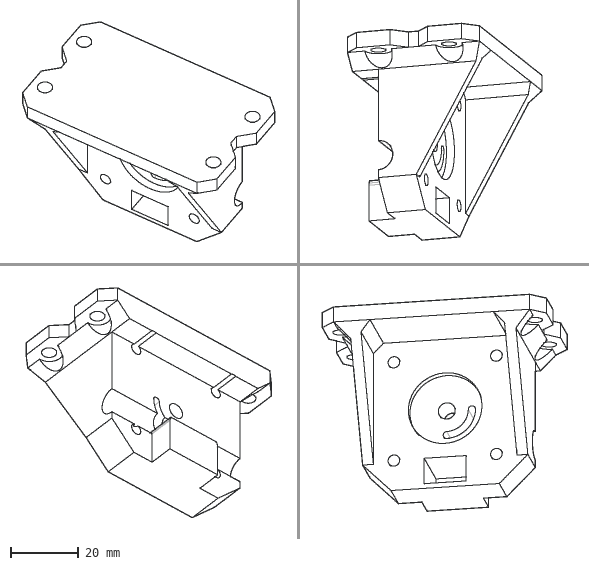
import cadquery as cq
import math


PLATE_LENGTH = 67.8
PLATE_DEPTH = 41.3
PLATE_THICKNESS = 4.75
PLATE_CHAMFER = 4.3
NOTCH_FLOOR = 3.2
PLATE_HOLE_DIAMETER = 4.5
PLATE_HOLE_SPACING_X = 58.8
PLATE_HOLE_SPACING_Y = 22.1
SCREW_CLEARANCE_DIAMETER = 8.3

TOTAL_HEIGHT = 51.35
BODY_WIDTH = 50.0
BODY_BOTTOM_CHAMFER = 8.6
BODY_BACK_SETBACK = 8.15
MOTOR_WALL_THICKNESS = 11.9

BAY_WIDTH = 43.4
BAY_TOP_CHAMFER = 3.05
MOTOR_AXIS_DROP = 26.45
MOTOR_HOLE_SPACING = 31.0
MOTOR_HOLE_DIAMETER = 3.5
PILOT_DIAMETER = 22.25
PILOT_DEPTH = 2.5
SHAFT_HOLE_DIAMETER = 5.1
ARC_SLOT_RADIUS = 7.6
ARC_SLOT_WIDTH = 2.2

CHANNEL_RADIUS = 4.5
CHANNEL_DROP = 35.8

BLOCK_WALL = 3.0
BLOCK_SHOULDER_RADIUS = 1.5
POCKET_WIDTH = 12.7
POCKET_HEIGHT = 8.0
POCKET_END_WALL = 1.5
POCKET_FLOOR = 1.5

HALF_LENGTH = PLATE_LENGTH / 2
FRONT_Y = -PLATE_DEPTH / 2
BACK_Y = PLATE_DEPTH / 2
BODY_BACK_Y = BACK_Y - BODY_BACK_SETBACK
MOTOR_FACE_Y = BODY_BACK_Y - MOTOR_WALL_THICKNESS
PLATE_BOTTOM_Z = -PLATE_THICKNESS
BOTTOM_Z = -TOTAL_HEIGHT
WALL_BOTTOM_Z = BOTTOM_Z + BODY_BOTTOM_CHAMFER
HALF_FLARE = HALF_LENGTH - PLATE_CHAMFER
FLARE_BOTTOM_Z = PLATE_BOTTOM_Z - (HALF_FLARE - BODY_WIDTH / 2)


def front_plane(y):
    """Plane at the given Y whose local axes are X and Z; extruding moves toward -Y."""
    return cq.Workplane("XZ", origin=(0, y, 0))


def symmetric_profile(y, right_side):
    """Closed X-Z outline from its right half, mirrored in X."""
    left_side = [(-x, z) for x, z in reversed(right_side)]
    return front_plane(y).polyline(right_side + left_side).close()


def make_plate():
    blank = (
        cq.Workplane("XY", origin=(0, 0, PLATE_BOTTOM_Z))
        .rect(PLATE_LENGTH, PLATE_DEPTH)
        .extrude(PLATE_THICKNESS)
        .edges("|Z")
        .chamfer(PLATE_CHAMFER)
    )
    half_floor = NOTCH_FLOOR / 2
    half_mouth = half_floor + PLATE_CHAMFER
    for side in (-1, 1):
        outer_x = side * HALF_LENGTH
        inner_x = side * HALF_FLARE
        notch = (
            cq.Workplane("XY", origin=(0, 0, PLATE_BOTTOM_Z))
            .polyline([
                (outer_x, -half_mouth),
                (inner_x, -half_floor),
                (inner_x, half_floor),
                (outer_x, half_mouth),
            ])
            .close()
            .extrude(PLATE_THICKNESS)
        )
        blank = blank.cut(notch)
    return blank


def make_flare():
    """Trapezoid under the plate, narrowing at 45 degrees to the body width."""
    outline = [(BODY_WIDTH / 2, FLARE_BOTTOM_Z), (HALF_FLARE, PLATE_BOTTOM_Z)]
    return symmetric_profile(BACK_Y, outline).extrude(PLATE_DEPTH)


def make_body():
    outline = [
        (BODY_WIDTH / 2 - BODY_BOTTOM_CHAMFER, BOTTOM_Z),
        (BODY_WIDTH / 2, WALL_BOTTOM_Z),
        (BODY_WIDTH / 2, PLATE_BOTTOM_Z),
    ]
    return symmetric_profile(BODY_BACK_Y, outline).extrude(BODY_BACK_Y - FRONT_Y)


def make_front_slope():
    """Everything in front of the sloped wall edges and of the motor face below them."""
    return (
        cq.Workplane("YZ", origin=(-HALF_LENGTH, 0, 0))
        .polyline([
            (FRONT_Y, PLATE_BOTTOM_Z),
            (MOTOR_FACE_Y, WALL_BOTTOM_Z),
            (MOTOR_FACE_Y, BOTTOM_Z),
            (FRONT_Y, BOTTOM_Z),
        ])
        .close()
        .extrude(PLATE_LENGTH)
    )


def make_motor_bay():
    half_bay = BAY_WIDTH / 2
    outline = [
        (half_bay, BOTTOM_Z),
        (half_bay, PLATE_BOTTOM_Z - BAY_TOP_CHAMFER),
        (half_bay - BAY_TOP_CHAMFER, PLATE_BOTTOM_Z),
    ]
    return symmetric_profile(MOTOR_FACE_Y, outline).extrude(MOTOR_FACE_Y - FRONT_Y)


def make_rear_block():
    """Block from the motor face to the back of the plate, stepped in at the top by S-shaped shoulders.

    Each shoulder is a convex arc and an equal concave arc, tangent where they meet and vertical
    at both ends, so each arc turns through 30 degrees and rises half a radius.
    """
    radius = BLOCK_SHOULDER_RADIUS
    half_width = POCKET_WIDTH / 2 + BLOCK_WALL
    top_z = BOTTOM_Z + POCKET_FLOOR + POCKET_HEIGHT + BLOCK_WALL
    start_z = top_z - radius
    joint_z = top_z - radius / 2
    arc_turn = math.radians(30)
    joint_inset = radius * (1 - math.cos(arc_turn))
    middle_inset = radius * (1 - math.cos(arc_turn / 2))
    middle_rise = radius * math.sin(arc_turn / 2)
    joint_x = half_width - joint_inset
    top_x = joint_x - joint_inset
    lower_middle = (half_width - middle_inset, start_z + middle_rise)
    upper_middle = (top_x + middle_inset, top_z - middle_rise)
    return (
        front_plane(BACK_Y)
        .moveTo(0, BOTTOM_Z)
        .lineTo(half_width, BOTTOM_Z)
        .lineTo(half_width, start_z)
        .threePointArc(lower_middle, (joint_x, joint_z))
        .threePointArc(upper_middle, (top_x, top_z))
        .lineTo(0, top_z)
        .mirrorY()
        .extrude(BACK_Y - MOTOR_FACE_Y)
    )


def make_block_pocket():
    pocket_back_y = BACK_Y - POCKET_END_WALL
    return (
        front_plane(pocket_back_y)
        .center(0, BOTTOM_Z + POCKET_FLOOR + POCKET_HEIGHT / 2)
        .rect(POCKET_WIDTH, POCKET_HEIGHT)
        .extrude(pocket_back_y - MOTOR_FACE_Y)
    )


def make_cross_channel():
    return (
        cq.Workplane("YZ", origin=(-HALF_LENGTH, 0, 0))
        .center(BODY_BACK_Y, -CHANNEL_DROP)
        .circle(CHANNEL_RADIUS)
        .extrude(PLATE_LENGTH)
    )


def make_arc_slot():
    """Quarter-circle slot around the motor axis, from +X round to -Z, with round ends."""
    inner = ARC_SLOT_RADIUS - ARC_SLOT_WIDTH / 2
    outer = ARC_SLOT_RADIUS + ARC_SLOT_WIDTH / 2
    end_radius = ARC_SLOT_WIDTH / 2
    diagonal = math.sqrt(0.5)
    return (
        front_plane(BODY_BACK_Y)
        .center(0, -MOTOR_AXIS_DROP)
        .moveTo(outer, 0)
        .threePointArc((outer * diagonal, -outer * diagonal), (0, -outer))
        .threePointArc((-end_radius, -ARC_SLOT_RADIUS), (0, -inner))
        .threePointArc((inner * diagonal, -inner * diagonal), (inner, 0))
        .threePointArc((ARC_SLOT_RADIUS, end_radius), (outer, 0))
        .close()
        .extrude(MOTOR_WALL_THICKNESS)
    )


def make_motor_openings():
    """Pilot recess, shaft hole, four screw holes and the arc slot through the motor wall."""
    axis_on_back = front_plane(BODY_BACK_Y).center(0, -MOTOR_AXIS_DROP)
    shaft_hole = axis_on_back.circle(SHAFT_HOLE_DIAMETER / 2).extrude(MOTOR_WALL_THICKNESS)
    screw_holes = (
        front_plane(BACK_Y)
        .center(0, -MOTOR_AXIS_DROP)
        .rect(MOTOR_HOLE_SPACING, MOTOR_HOLE_SPACING, forConstruction=True)
        .vertices()
        .circle(MOTOR_HOLE_DIAMETER / 2)
        .extrude(BACK_Y - MOTOR_FACE_Y)
    )
    pilot = (
        front_plane(MOTOR_FACE_Y + PILOT_DEPTH)
        .center(0, -MOTOR_AXIS_DROP)
        .circle(PILOT_DIAMETER / 2)
        .extrude(PILOT_DEPTH)
    )
    return [shaft_hole, screw_holes, pilot, make_arc_slot()]


def make_plate_cylinders(diameter, top_z, bottom_z):
    """Vertical cylinders on the four plate hole positions."""
    return (
        cq.Workplane("XY", origin=(0, 0, bottom_z))
        .rect(PLATE_HOLE_SPACING_X, PLATE_HOLE_SPACING_Y, forConstruction=True)
        .vertices()
        .circle(diameter / 2)
        .extrude(top_z - bottom_z)
    )


bracket = make_flare().union(make_body())
bracket = bracket.cut(make_front_slope()).cut(make_motor_bay())
bracket = bracket.cut(make_cross_channel())
bracket = bracket.union(make_plate()).union(make_rear_block())

for opening in make_motor_openings():
    bracket = bracket.cut(opening)
bracket = bracket.cut(make_block_pocket())
bracket = bracket.cut(make_plate_cylinders(SCREW_CLEARANCE_DIAMETER, PLATE_BOTTOM_Z, FLARE_BOTTOM_Z))
bracket = bracket.cut(make_plate_cylinders(PLATE_HOLE_DIAMETER, 0, PLATE_BOTTOM_Z))

result = bracket